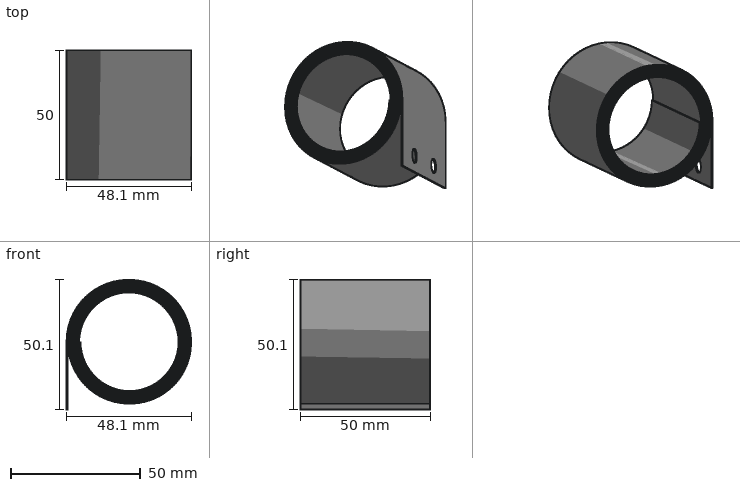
import cadquery as cq

strip_width = 50.0

outer_radius = 24.075
pitch = 0.55
turns = 9
layer_clearance = 0.001
strip_thickness = pitch - layer_clearance

tail_length = 26.0
hole_diameter = 5.5
hole_spacing = 22.2
hole_height = 6.3


def coil_face_ends(start_x):
    """X positions on the Z = 0 line where one face of the strip crosses it.

    The face starts at start_x on the left. Each crossing alternates between the
    right and left sides, and every half turn lies half a pitch closer to the centre.
    """
    ends = [start_x]
    diameter = -2 * start_x
    direction = 1
    for _ in range(2 * turns):
        ends.append(ends[-1] + direction * diameter)
        diameter -= pitch
        direction = -direction
    return ends


def trace_half_turns(path, ends, first_side):
    """Continue path through half circles joining successive ends.

    first_side is +1 if the first half circle lies above the Z = 0 line, -1 if below.
    """
    side = first_side
    for start_x, end_x in zip(ends, ends[1:]):
        middle = ((start_x + end_x) / 2, side * abs(end_x - start_x) / 2)
        path = path.threePointArc(middle, (end_x, 0))
        side = -side
    return path


def make_strip():
    """Tail and coil as one spiral outline, extruded across the strip width."""
    outer_ends = coil_face_ends(-outer_radius)
    inner_ends = coil_face_ends(-outer_radius + strip_thickness)
    last_side = -1

    outline = cq.Workplane("XZ").moveTo(outer_ends[0], -tail_length).lineTo(outer_ends[0], 0)
    outline = trace_half_turns(outline, outer_ends, 1)
    outline = outline.lineTo(inner_ends[-1], 0)
    outline = trace_half_turns(outline, inner_ends[::-1], last_side)
    outline = outline.lineTo(inner_ends[0], -tail_length).close()
    return outline.extrude(strip_width / 2, both=True)


def make_tail_holes():
    """Cutters for the pair of round holes through the tail only."""
    hole_z = hole_height - tail_length
    cutter_depth = 2 * strip_thickness
    return (
        cq.Workplane("YZ", origin=(-outer_radius - strip_thickness / 2, 0, 0))
        .pushPoints([(-hole_spacing / 2, hole_z), (hole_spacing / 2, hole_z)])
        .circle(hole_diameter / 2)
        .extrude(cutter_depth)
    )


result = make_strip().cut(make_tail_holes())